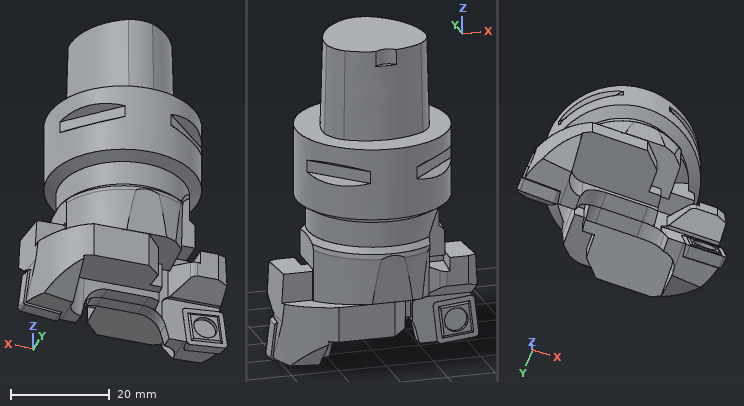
import cadquery as cq
import math


BIG = 54.3

SHANK_TOP = 67.85
SHANK_TOP_RADIUS = 10.6
SHANK_BASE_RADIUS = 11.05
LOBE_HEIGHT = 0.6
LOBE_HALF_ANGLE = 13.5
NOTCH_WIDTH = 4.55
NOTCH_DEPTH = 1.1
NOTCH_HEIGHT = 3.2

COLLAR_TOP = 48.85
COLLAR_BOTTOM = 33.8
COLLAR_RADIUS = 32.0 / 2
NECK_TOP = 32.35
NECK_BOTTOM = 27.0
NECK_RADIUS = 13.6
SHOULDER_Z = 25.85
SHOULDER_RADIUS = 14.8
BODY_TOP = 24.8
BODY_RADIUS = 15.05

GROOVE_Z = 42.9
GROOVE_FLOOR_HEIGHT = 2.5
GROOVE_FLOOR_OFFSET = 14.25
GROOVE_MOUTH_HEIGHT = 4.55

SIDE_FLAT_X = 14.05
FACET_TILT = 2.5
FRONT_FACET_OFFSET = 14.85
DIAGONAL_FACET_OFFSET = 14.65
FLUTE_X = 8.5
FLUTE_Y = 4.35
FLUTE_ARC_BOTTOM = 23.9
FLUTE_ARC_RADIUS = 10.0

SLOT_HALF_WIDTH = 4.6
SLOT_TOP = 20.5
SEAT_INNER_Z = 13.8
SEAT_SLOPE = 0.15

SLIDE_TOP = 19.95
SLIDE_FRONT_Y = -14.4
PLATE_BOTTOM = 7.7
ARM_BOTTOM = 0.5
ARM_SLOPE_Y = -13.6
ARM_SLOPE_Z = 7.2
PLATE_ARC_START_X = -11.3
PLATE_ARC_MIDDLE = (-20.35, -6.05)
PLATE_ARC_END_X = -22.05
PLATE_CORNER_X = 0.55
PLATE_END_X = 3.7
PLATE_CORNER_Y = -11.0
STEP_Y = -6.1
STEP_X = 6.3
JOINT_END_X = 6.9
TONGUE_END_X = -21.4
TONGUE_CORNER_X = -18.9
TONGUE_CORNER_Y = 3.7
END_FACE_KNEE = (-20.7, -SLOT_HALF_WIDTH, 10.05)
END_FACE_UPPER_NORMAL = (-1.0, -0.07, 0.06)
END_FACE_LOWER_NORMAL = (-1.0, -0.07, 0.1)

ARM_WALL_X = -13.15
ARM_WALL_Y = -3.45
ARM_WALL_FILLET = 3.6
UNDERSIDE_TILT = 6.0
HEEL_RISE = 0.9
ARCH_TOP = 7.4
ARCH_TOP_HALF_WIDTH = 8.3
ARCH_FOOT_HALF_WIDTH = 10.0
ARCH_FILLET = 4.8
BEVEL_TOP = 17.7
BEVEL_TOP_OUTER = 17.0
BEVEL_START_X = -9.7
BEVEL_ROUND_START = (-13.1, 4.0)
BEVEL_ROUND_MIDDLE = (-13.7, 4.4)
BEVEL_END_X = -14.45
RELIEF_END_X = -15.05
CHIP_POCKET_X = -8.5
CHIP_POCKET_TOP = 10.4
CHIP_POCKET_CORNER = 3.2 / 2
CHIP_ROOF_Y = 0.3
CHIP_ROOF_FOOT_Y = 1.0
TONGUE_UNDERSIDE_Z = 13.85

INSERT_SIDE = 8.9
INSERT_CORNER = 0.8
INSERT_THICKNESS = 2.65
INSERT_RELIEF = 7.0
INSERT_CENTRE = (-17.7, 0.0, 4.75)
INSERT_TURN = 5.5
RAKE_TILT = 4.0
LAND_SIDE = 6.7
LAND_HEIGHT = 0.2
LAND_TAPER = 65.0
SCREW_HOLE_DIAMETER = 4.95
SCREW_HOLE_DEPTH = 0.7


def turned_about_axis(body, degrees):
    return body.rotate((0, 0, 0), (0, 0, 1), degrees)


def box(x_range, y_range, z_range):
    size = [high - low for low, high in (x_range, y_range, z_range)]
    corner = (x_range[0], y_range[0], z_range[0])
    return cq.Workplane("XY").box(*size, centered=False).translate(corner)


def prism_along_x(points, x_low=-BIG, x_high=BIG):
    return cq.Workplane("YZ").polyline(points).close().extrude(x_high - x_low).translate((x_low, 0, 0))


def half_space(point, normal):
    """Everything near the part on the outer side of a plane."""
    return cq.Workplane(cq.Plane(origin=point, normal=normal)).rect(BIG, BIG).extrude(BIG / 2)


def seat_height(y):
    return SEAT_INNER_Z + SEAT_SLOPE * (abs(y) - SLOT_HALF_WIDTH)



def shank_point(mean_radius, degrees):
    radius = mean_radius + LOBE_HEIGHT * math.cos(math.radians(3 * (degrees - 90)))
    angle = math.radians(degrees)
    return radius * math.cos(angle), radius * math.sin(angle)


def shank_outline(plane, mean_radius):
    outline = plane.moveTo(*shank_point(mean_radius, 90 - LOBE_HALF_ANGLE))
    for lobe in (90, 210, 330):
        lobe_end = lobe + LOBE_HALF_ANGLE
        next_lobe_start = lobe + 120 - LOBE_HALF_ANGLE
        outline = outline.threePointArc(shank_point(mean_radius, lobe), shank_point(mean_radius, lobe_end))
        outline = outline.threePointArc(
            shank_point(mean_radius, lobe + 60), shank_point(mean_radius, next_lobe_start)
        )
    return outline.close()


def make_shank():
    base = shank_outline(cq.Workplane("XY").workplane(offset=COLLAR_TOP), SHANK_BASE_RADIUS)
    top_plane = base.workplane(offset=SHANK_TOP - COLLAR_TOP)
    return shank_outline(top_plane, SHANK_TOP_RADIUS).loft(ruled=True)


def make_shank_notch():
    half_width = NOTCH_WIDTH / 2
    radius = (half_width**2 + NOTCH_DEPTH**2) / (2 * NOTCH_DEPTH)
    flat_y = SHANK_TOP_RADIUS - LOBE_HEIGHT
    centre_y = -flat_y + NOTCH_DEPTH - radius
    notch = cq.Workplane("XY").center(0, centre_y).circle(radius).extrude(NOTCH_HEIGHT)
    return notch.translate((0, 0, SHANK_TOP - NOTCH_HEIGHT))


def make_turned_body():
    profile = [
        (0, SEAT_INNER_Z),
        (BODY_RADIUS, SEAT_INNER_Z),
        (BODY_RADIUS, BODY_TOP),
        (SHOULDER_RADIUS, SHOULDER_Z),
        (NECK_RADIUS, NECK_BOTTOM),
        (NECK_RADIUS, NECK_TOP),
        (COLLAR_RADIUS, COLLAR_BOTTOM),
        (COLLAR_RADIUS, COLLAR_TOP),
        (0, COLLAR_TOP),
    ]
    return cq.Workplane("XZ").polyline(profile).close().revolve(360, (0, 0), (0, 1))


def make_collar_groove(degrees):
    depth = COLLAR_RADIUS - GROOVE_FLOOR_OFFSET
    floor = GROOVE_FLOOR_HEIGHT / 2
    mouth = GROOVE_MOUTH_HEIGHT / 2
    profile = [(0, -floor), (depth, -mouth), (depth, mouth), (0, floor)]
    groove = cq.Workplane("XZ").polyline(profile).close().extrude(COLLAR_RADIUS, both=True)
    groove = groove.translate((GROOVE_FLOOR_OFFSET, 0, GROOVE_Z))
    return turned_about_axis(groove, degrees)


def make_facet_cut(degrees, offset):
    """Space outside a flat that leans toward the axis at its lower end."""
    angle = math.radians(degrees)
    point = (offset * math.cos(angle), offset * math.sin(angle), BODY_TOP)
    normal = (math.cos(angle), math.sin(angle), -math.tan(math.radians(FACET_TILT)))
    keep_below = box((-BIG, BIG), (-BIG, BIG), (0, NECK_BOTTOM))
    return half_space(point, normal).intersect(keep_below)


def make_flute():
    """Chip flute beside the slide arm: a flat wall that curves outward into the neck."""
    arc_centre_x = -FLUTE_X - FLUTE_ARC_RADIUS
    arc_middle = (
        arc_centre_x + FLUTE_ARC_RADIUS * math.cos(math.pi / 4),
        FLUTE_ARC_BOTTOM + FLUTE_ARC_RADIUS * math.sin(math.pi / 4),
    )
    flute = (
        cq.Workplane("XZ")
        .moveTo(-FLUTE_X, 0)
        .lineTo(-FLUTE_X, FLUTE_ARC_BOTTOM)
        .threePointArc(arc_middle, (arc_centre_x, FLUTE_ARC_BOTTOM + FLUTE_ARC_RADIUS))
        .lineTo(arc_centre_x, 0)
        .close()
        .extrude(-BIG)
        .translate((0, FLUTE_Y, 0))
    )
    return flute.intersect(box((-BIG, 0), (0, 2 * BIG), (0, NECK_TOP)))


def make_seat_cut():
    """Space below the V-shaped seat, with the guide slot rising from its middle."""
    edge_z = seat_height(BIG)
    return prism_along_x([
        (-BIG, 0),
        (BIG, 0),
        (BIG, edge_z),
        (SLOT_HALF_WIDTH, SEAT_INNER_Z),
        (SLOT_HALF_WIDTH, SLOT_TOP),
        (-SLOT_HALF_WIDTH, SLOT_TOP),
        (-SLOT_HALF_WIDTH, SEAT_INNER_Z),
        (-BIG, edge_z),
    ])


def make_holder():
    holder = make_turned_body().union(make_shank()).cut(make_shank_notch())
    for degrees in (45, 135, 225, 315):
        holder = holder.cut(make_collar_groove(degrees))
    side_flat = box((-BIG, -SIDE_FLAT_X), (-BIG, BIG), (0, NECK_BOTTOM))
    front_facet = make_facet_cut(270, FRONT_FACET_OFFSET)
    diagonal_facet = make_facet_cut(135, DIAGONAL_FACET_OFFSET)
    for cutter in (side_flat, front_facet, diagonal_facet, make_flute()):
        holder = holder.cut(cutter).cut(turned_about_axis(cutter, 180))
    return holder.cut(make_seat_cut())



def rake_plane():
    tilt = math.radians(RAKE_TILT)
    return cq.Plane(origin=INSERT_CENTRE, xDir=(-1, 0, 0), normal=(0, math.cos(tilt), math.sin(tilt)))


def make_insert_blank():
    outline = cq.Sketch().rect(INSERT_SIDE, INSERT_SIDE).vertices().fillet(INSERT_CORNER)
    turned = rake_plane().rotated((0, 0, INSERT_TURN))
    return cq.Workplane(turned).placeSketch(outline).extrude(-INSERT_THICKNESS, taper=INSERT_RELIEF)


def make_insert():
    turned = cq.Workplane(rake_plane().rotated((0, 0, INSERT_TURN)))
    land = turned.rect(LAND_SIDE, LAND_SIDE).extrude(LAND_HEIGHT, taper=LAND_TAPER)
    hole = turned.workplane(offset=-SCREW_HOLE_DEPTH).circle(SCREW_HOLE_DIAMETER / 2).extrude(BIG)
    return make_insert_blank().union(land).cut(hole)



def make_slide_block():
    """Plan outline and side outline crossed, before the clearances are cut."""
    plan = (
        cq.Workplane("XY")
        .moveTo(PLATE_ARC_START_X, SLIDE_FRONT_Y)
        .lineTo(PLATE_CORNER_X, SLIDE_FRONT_Y)
        .lineTo(PLATE_END_X, PLATE_CORNER_Y)
        .lineTo(PLATE_END_X, STEP_Y)
        .lineTo(STEP_X, STEP_Y)
        .lineTo(JOINT_END_X, 0)
        .lineTo(CHIP_POCKET_X, 0)
        .lineTo(CHIP_POCKET_X, SLOT_HALF_WIDTH)
        .lineTo(TONGUE_CORNER_X, SLOT_HALF_WIDTH)
        .lineTo(TONGUE_END_X, TONGUE_CORNER_Y)
        .lineTo(PLATE_ARC_END_X, 0)
        .threePointArc(PLATE_ARC_MIDDLE, (PLATE_ARC_START_X, SLIDE_FRONT_Y))
        .close()
        .extrude(SLIDE_TOP)
    )
    side = prism_along_x([
        (SLOT_HALF_WIDTH, ARM_BOTTOM),
        (ARM_SLOPE_Y + ARM_SLOPE_Z - ARM_BOTTOM, ARM_BOTTOM),
        (ARM_SLOPE_Y, ARM_SLOPE_Z),
        (ARM_SLOPE_Y, PLATE_BOTTOM),
        (SLIDE_FRONT_Y, PLATE_BOTTOM),
        (SLIDE_FRONT_Y, seat_height(SLIDE_FRONT_Y)),
        (-SLOT_HALF_WIDTH, SEAT_INNER_Z),
        (-SLOT_HALF_WIDTH, SLIDE_TOP),
        (SLOT_HALF_WIDTH, SLIDE_TOP),
    ])
    beyond_upper = half_space(END_FACE_KNEE, END_FACE_UPPER_NORMAL)
    beyond_lower = half_space(END_FACE_KNEE, END_FACE_LOWER_NORMAL)
    return plan.intersect(side).cut(beyond_upper.intersect(beyond_lower))


def make_plate_underside_cut():
    """Tilted space below the plate, ending in a rounded inner corner at the arm."""
    cut = box((ARM_WALL_X, BIG), (-BIG, ARM_WALL_Y), (-PLATE_BOTTOM, PLATE_BOTTOM))
    cut = cut.edges("|Z and <X and >Y").fillet(ARM_WALL_FILLET)
    pivot = (0, SLIDE_FRONT_Y, PLATE_BOTTOM)
    return cut.rotate(pivot, (1, SLIDE_FRONT_Y, PLATE_BOTTOM), UNDERSIDE_TILT)


def make_heel_cut():
    """Rising underside of the arm outward of its wall."""
    heel = [(ARM_WALL_X, ARM_BOTTOM), (PLATE_ARC_END_X, ARM_BOTTOM + HEEL_RISE), (PLATE_ARC_END_X, 0)]
    return cq.Workplane("XZ").polyline(heel).close().extrude(BIG, both=True)


def make_arch_cut():
    slope = (ARCH_FOOT_HALF_WIDTH - ARCH_TOP_HALF_WIDTH) / ARCH_TOP
    low = -ARCH_TOP
    foot = ARCH_FOOT_HALF_WIDTH - slope * low
    outline = [(-foot, low), (foot, low), (ARCH_TOP_HALF_WIDTH, ARCH_TOP), (-ARCH_TOP_HALF_WIDTH, ARCH_TOP)]
    arch = cq.Workplane("XZ").polyline(outline).close().extrude(BIG, both=True)
    return arch.edges("|Y and >Z").fillet(ARCH_FILLET)


def make_tongue_bevel_cut():
    """Space beside the rounded bevel on the inner corner of the tongue, under a sloped ceiling."""
    bottom = INSERT_CENTRE[2]
    bevel = (
        cq.Workplane("XY")
        .workplane(offset=bottom)
        .moveTo(CHIP_POCKET_X, 0)
        .lineTo(BEVEL_START_X, 0)
        .lineTo(*BEVEL_ROUND_START)
        .threePointArc(BEVEL_ROUND_MIDDLE, (BEVEL_END_X, SLOT_HALF_WIDTH))
        .lineTo(CHIP_POCKET_X, SLOT_HALF_WIDTH)
        .close()
        .extrude(BEVEL_TOP - bottom)
    )
    below_ceiling = [
        (0, bottom),
        (SLOT_HALF_WIDTH, bottom),
        (SLOT_HALF_WIDTH, BEVEL_TOP_OUTER),
        (0, BEVEL_TOP),
    ]
    return bevel.intersect(prism_along_x(below_ceiling))


def make_tongue_relief_cut():
    """Notch above the bevel that shortens the tongue, with a sloped floor."""
    outline = [
        (0, BEVEL_TOP),
        (SLOT_HALF_WIDTH, BEVEL_TOP_OUTER),
        (SLOT_HALF_WIDTH, SLIDE_TOP),
        (0, SLIDE_TOP),
    ]
    return prism_along_x(outline, RELIEF_END_X, CHIP_POCKET_X)


def make_chip_roof_cut():
    """Space below the sloped underside of the tongue."""
    outline = [
        (CHIP_ROOF_Y, CHIP_POCKET_TOP),
        (SLOT_HALF_WIDTH, TONGUE_UNDERSIDE_Z),
        (SLOT_HALF_WIDTH, 0),
        (CHIP_ROOF_FOOT_Y, 0),
    ]
    return prism_along_x(outline, -BIG, BEVEL_START_X)


def make_chip_floor_cut():
    """Space in front of the insert, with its floor flush with the rake face."""
    centre_x, _, centre_z = INSERT_CENTRE
    inner_edge = centre_x - CHIP_POCKET_X
    top_edge = CHIP_POCKET_TOP - centre_z
    pocket = cq.Sketch().rect(BIG, BIG).vertices().fillet(CHIP_POCKET_CORNER)
    plane = cq.Workplane(rake_plane()).center(inner_edge + BIG / 2, top_edge - BIG / 2)
    return plane.placeSketch(pocket).extrude(SLOT_HALF_WIDTH)


def make_slide():
    slide = make_slide_block()
    slide = slide.cut(make_plate_underside_cut()).cut(make_heel_cut()).cut(make_arch_cut())
    slide = slide.cut(make_tongue_bevel_cut()).cut(make_tongue_relief_cut())
    slide = slide.cut(make_chip_roof_cut()).cut(make_chip_floor_cut())
    return slide.cut(make_insert_blank())



holder = make_holder()
slides = []
inserts = []
for degrees in (0, 180):
    slides.append(turned_about_axis(make_slide(), degrees))
    inserts.append(turned_about_axis(make_insert(), degrees))

bodies = [holder, *slides, *inserts]
result = cq.Compound.makeCompound([body.val() for body in bodies])